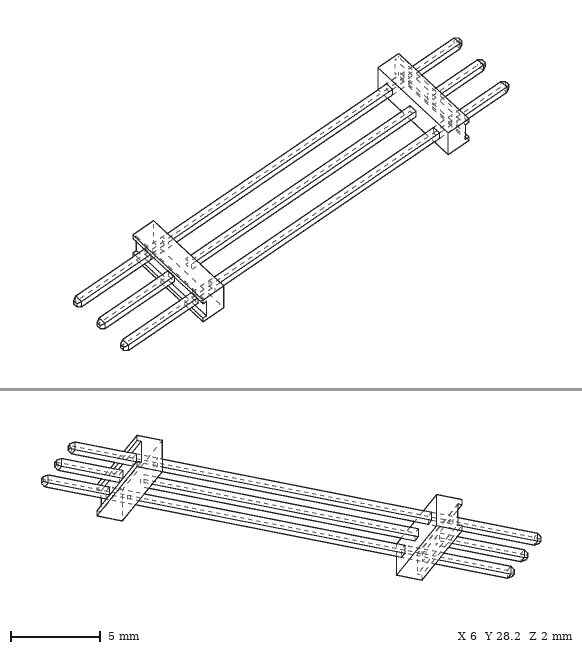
import cadquery as cq

PITCH = 2.0
PIN_LENGTH = 28.2
PIN_WIDTH = 0.5
TIP_LENGTH = 0.25
TIP_INSET = 0.1

HOUSING_WIDTH = 3 * PITCH
HOUSING_HEIGHT = PITCH
HOUSING_DEPTH = 1.52
LIP_DEPTH = 0.25
LIP_THICKNESS = 0.35
FRONT_TAIL = 5.07
BACK_TAIL = 3.66

FRONT_FACE_Y = -PIN_LENGTH / 2 + FRONT_TAIL
BACK_FACE_Y = PIN_LENGTH / 2 - BACK_TAIL
RECESS_HEIGHT = HOUSING_HEIGHT - 2 * LIP_THICKNESS


def housing(lip_face_y, inward):
    """A housing bar; its recess opens at lip_face_y and its depth runs along inward (+1 or -1)."""
    block = cq.Workplane("XY").box(HOUSING_WIDTH, HOUSING_DEPTH, HOUSING_HEIGHT)
    block = block.translate((0, lip_face_y + inward * HOUSING_DEPTH / 2, 0))
    recess = cq.Workplane("XY").box(HOUSING_WIDTH, LIP_DEPTH, RECESS_HEIGHT)
    recess = recess.translate((0, lip_face_y + inward * LIP_DEPTH / 2, 0))
    return block.cut(recess)


def pin(x):
    """A square pin with a tapered tip at each end."""
    shaft_length = PIN_LENGTH - 2 * TIP_LENGTH
    tip_width = PIN_WIDTH - 2 * TIP_INSET
    body = cq.Workplane("XY").box(PIN_WIDTH, shaft_length, PIN_WIDTH)
    for face in ("<Y", ">Y"):
        tip = (
            body.faces(face).workplane(centerOption="CenterOfBoundBox")
            .rect(PIN_WIDTH, PIN_WIDTH)
            .workplane(offset=TIP_LENGTH)
            .rect(tip_width, tip_width)
            .loft(combine=False)
        )
        body = body.union(tip)
    return body.translate((x, 0, 0))


def carrier(loose_pins):
    """Front and back housings joined by the middle pin, with a matching hole for each loose pin."""
    body = pin(0).union(housing(FRONT_FACE_Y, 1)).union(housing(BACK_FACE_Y, -1))
    for loose_pin in loose_pins:
        body = body.cut(loose_pin)
    return body


outer_pins = [pin(side * PITCH) for side in (-1, 1)]
pin_carrier = carrier(outer_pins)

result = cq.Compound.makeCompound([pin_carrier.val(), *[outer_pin.val() for outer_pin in outer_pins]])